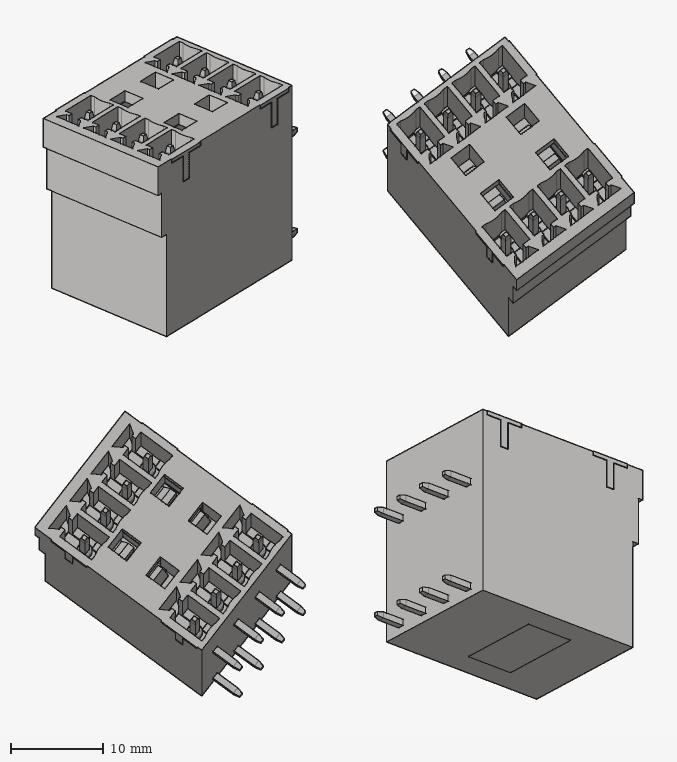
import cadquery as cq


overall_width = 16.43
overall_depth = 26.2
height = 22.0
pitch = 3.8
row_spacing = 14.99
pins_per_row = 4

tail_length = 3.5
housing_depth = overall_depth - tail_length
rib_thickness = 0.1
housing_width = overall_width - 2 * rib_thickness
lip_height = 3.62
lip_overhang = 0.6
shoulder_drop = 9.15
base_setback = 1.41

pocket_width = 3.17
pocket_rear = 0.6
pocket_length = 4.32
pocket_depth = 6.55
bulge_width = 2.1
bulge_height = 0.15
channel_width = 1.3
channel_end = 5.45
channel_depth = 7.07
cross_slot_length = 1.0
cross_slot_depth = 6.8
flare_neck_width = 1.95
flare_end = 6.45
flare_depth = pocket_depth

collar_diameter = 1.68
collar_rounding = 0.24
collar_top_depth = 6.3

rib_bar_height = 0.5
rib_drop = 3.72
rib_stem_length = 1.0

pin_inset = 2.78
pin_size = 0.75
tip_size = 0.47
tip_length = 0.73
pin_top_depth = 0.47
lower_tail_z = 1.3
tail_spacing = 12.7
upper_tail_z = lower_tail_z + tail_spacing

window_size = 2.55
rear_window_start = 7.3
front_window_start = 12.47
rear_window_depth = 4.72
bridge_thickness = 1.4
tunnel_clearance = 0.1
carrier_top_depth = 4.2
carrier_rear = 9.05
hook_width = 1.75
hook_top_depth = 2.62
rear_hook_nose = 8.44
rear_slope_end = 9.22
rear_slope_drop = 1.25
front_hook_back = 13.13
front_slope_start = 13.9
front_slope_end = 14.8
front_hook_step = 0.15

pin_xs = [(i - (pins_per_row - 1) / 2) * pitch for i in range(pins_per_row)]
row_offsets = [0, row_spacing]
window_xs = [-pitch, pitch]
rear_window_end = rear_window_start + window_size
front_window_end = front_window_start + window_size
carrier_width = 2 * pitch + window_size
carrier_height = height - carrier_top_depth


def block(width, x_mid, y_front, y_rear, z_low, z_high):
    """Box centred on x_mid between two Y and two Z levels."""
    return (
        cq.Workplane("XY", origin=(x_mid, (y_front + y_rear) / 2, z_low))
        .rect(width, y_rear - y_front)
        .extrude(z_high - z_low)
    )


def cut_from_top(width, x_mid, start, end, depth):
    """Box sunk from the top face, between two distances from the rear face."""
    return block(width, x_mid, -end, -start, height - depth, height)


def profile_along_x(points, x_mid, width):
    """Prism with a Y-Z outline, centred on x_mid."""
    return (
        cq.Workplane("YZ", origin=(x_mid - width / 2, 0, 0))
        .polyline(points)
        .close()
        .extrude(width)
    )


def square_bar(plane, length):
    """Square bar from a plane's origin, narrowed to a blunt tip at its end."""
    shank_length = length - tip_length
    shank = cq.Workplane(plane).rect(pin_size, pin_size).extrude(shank_length)
    tip = (
        cq.Workplane(plane).workplane(offset=shank_length)
        .rect(pin_size, pin_size)
        .workplane(offset=tip_length)
        .rect(tip_size, tip_size)
        .loft(combine=True)
    )
    return shank.union(tip)


def make_pin(x, row_offset, tail_z):
    """Right-angled pin with a leg pointing up and a tail pointing to the rear."""
    y = -pin_inset - row_offset
    leg_base = tail_z - pin_size / 2
    leg_plane = cq.Plane(origin=(x, y, leg_base), xDir=(1, 0, 0), normal=(0, 0, 1))
    tail_plane = cq.Plane(origin=(x, y, tail_z), xDir=(1, 0, 0), normal=(0, 1, 0))
    leg = square_bar(leg_plane, height - pin_top_depth - leg_base)
    tail = square_bar(tail_plane, tail_length - y)
    return leg.union(tail)


pins = []
for row_offset, tail_z in zip(row_offsets, [upper_tail_z, lower_tail_z]):
    for x in pin_xs:
        pins.append(make_pin(x, row_offset, tail_z))


def carrier_block():
    return block(carrier_width, 0, -front_window_end, -carrier_rear, 0, carrier_height)


def rear_hook(x):
    """Snap hook whose sloped nose overhangs the rear edge of the carrier."""
    hook_top = height - hook_top_depth
    points = [
        (-rear_hook_nose, carrier_height),
        (-rear_hook_nose, hook_top - rear_slope_drop),
        (-rear_slope_end, hook_top),
        (-rear_window_end, hook_top),
        (-rear_window_end, carrier_height),
    ]
    return profile_along_x(points, x, hook_width)


def front_hook(x):
    """Snap hook sloping down toward the front onto a low step."""
    step_top = carrier_height + front_hook_step
    hook_top = height - hook_top_depth
    points = [
        (-front_hook_back, carrier_height),
        (-front_hook_back, hook_top),
        (-front_slope_start, hook_top),
        (-front_slope_end, step_top),
        (-front_window_end, step_top),
        (-front_window_end, carrier_height),
    ]
    return profile_along_x(points, x, hook_width)


carrier = carrier_block()
for x in window_xs:
    carrier = carrier.union(rear_hook(x)).union(front_hook(x))
for pin in pins:
    carrier = carrier.cut(pin)


def housing_block():
    """Body stepped back twice below the front lip."""
    lip_front = -housing_depth
    shoulder_front = lip_front + lip_overhang
    base_front = lip_front + base_setback
    points = [
        (0, 0),
        (0, height),
        (lip_front, height),
        (lip_front, height - lip_height),
        (shoulder_front, height - lip_height),
        (shoulder_front, height - shoulder_drop),
        (base_front, height - shoulder_drop),
        (base_front, 0),
    ]
    return profile_along_x(points, 0, housing_width)


def side_ribs(row_offset):
    """Raised T on each side, spanning the same length as the pocket and its channel."""
    start = row_offset + pocket_rear
    end = row_offset + channel_end
    middle = (start + end) / 2
    stem_start = middle - rib_stem_length / 2
    bar = cut_from_top(overall_width, 0, start, end, rib_bar_height)
    stem = cut_from_top(overall_width, 0, stem_start, stem_start + rib_stem_length, rib_drop)
    return bar.union(stem)


def plug_pocket(x, row_offset):
    """Pocket with a bulged rear wall, a lengthwise channel, a cross slot and a front flare."""
    rear = -row_offset - pocket_rear
    front = rear - pocket_length
    half_width = pocket_width / 2
    half_bulge = bulge_width / 2
    pocket = (
        cq.Workplane("XY", origin=(x, 0, height - pocket_depth))
        .moveTo(-half_width, front)
        .lineTo(-half_width, rear)
        .lineTo(-half_bulge, rear)
        .threePointArc((0, rear - bulge_height), (half_bulge, rear))
        .lineTo(half_width, rear)
        .lineTo(half_width, front)
        .close()
        .extrude(pocket_depth)
    )
    channel_start = row_offset + pocket_rear + bulge_height
    neck = row_offset + channel_end
    channel = cut_from_top(channel_width, x, channel_start, neck, channel_depth)
    slot_start = row_offset + pin_inset - cross_slot_length / 2
    slot_end = slot_start + cross_slot_length
    cross_slot = cut_from_top(pocket_width, x, slot_start, slot_end, cross_slot_depth)
    flare = (
        cq.Workplane("XY", origin=(x, 0, height - flare_depth))
        .polyline([
            (-flare_neck_width / 2, -neck),
            (flare_neck_width / 2, -neck),
            (half_width, -row_offset - flare_end),
            (-half_width, -row_offset - flare_end),
        ])
        .close()
        .extrude(flare_depth)
    )
    return pocket.union(channel).union(cross_slot).union(flare)


def pin_collar(x, row_offset):
    """Rounded boss on the channel floor around a pin."""
    return (
        cq.Workplane("XY", origin=(x, -row_offset - pin_inset, height - channel_depth))
        .circle(collar_diameter / 2)
        .extrude(channel_depth - collar_top_depth)
        .faces(">Z")
        .edges()
        .fillet(collar_rounding)
    )


def latch_openings(x):
    """Two windows over the hooks, joined by a tunnel under the bridge between them."""
    rear_window = cut_from_top(window_size, x, rear_window_start, rear_window_end, rear_window_depth)
    front_window = cut_from_top(window_size, x, front_window_start, front_window_end, carrier_top_depth)
    tunnel = block(
        window_size + 2 * tunnel_clearance, x, -front_window_end, -rear_window_end,
        carrier_height, height - bridge_thickness,
    )
    return rear_window.union(front_window).union(tunnel)


housing = housing_block()
for row_offset in row_offsets:
    housing = housing.union(side_ribs(row_offset))
    for x in pin_xs:
        housing = housing.cut(plug_pocket(x, row_offset)).union(pin_collar(x, row_offset))
for x in window_xs:
    housing = housing.cut(latch_openings(x))
housing = housing.cut(carrier_block())
for pin in pins:
    housing = housing.cut(pin)


bodies = [housing, carrier, *pins]
result = cq.Compound.makeCompound([body.solids().val() for body in bodies])